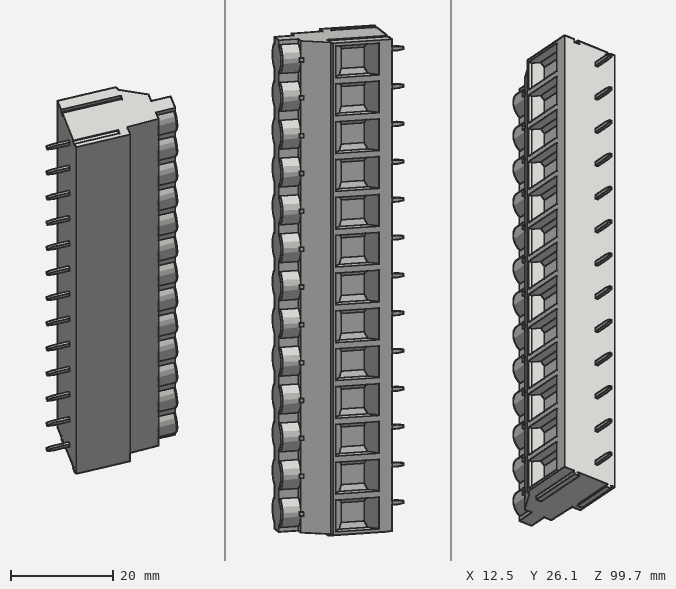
import cadquery as cq

pole_count = 13
overall_length = 99.7
overall_height = 26.1
pin_length = 4.6

rail_height = 0.7
rail_neck_outer_x = 2.4
rail_neck_inner_x = 3.3
rail_tip_outer_x = 2.5
rail_tip_inner_x = 3.7
wire_side_rail_top = 12.3
back_side_rail_top = 9.2

body_length = overall_length - rail_height
pitch = body_length / pole_count
body_width = 12.5
body_height = overall_height - pin_length
shoulder_height = 17.5
wire_face_height = 12.0
wire_face_chamfer_width = 0.8
wire_face_chamfer_height = 0.3
slope_top_x = 3.7
back_ledge_height = 11.1
back_ledge_x = 10.5
back_top_x = 10.3

barrel_x = 7.0
barrel_diameter = 6.6
barrel_chamfer = 0.3
web_width = 3.1

tab_size = 0.8
tab_start_x = 3.4
tab_depth = 1.0
tab_bottom = 17.0

pocket_bottom = 2.6
pocket_top = 11.5
pocket_length = 6.4
pocket_depth = 2.5
lower_flare_rise = 2.4
upper_flare_drop = 1.8
pocket_floor_bottom = pocket_bottom + lower_flare_rise
pocket_floor_top = pocket_top - upper_flare_drop
pocket_floor_length = 4.0
lower_flare_start = 0.4
upper_flare_start = 0.8
end_flare_start = 2.0

pin_x = 7.9
pin_width = 0.6
pin_thickness = 0.8
pin_tip_thickness = 0.4
pin_tip_length = 1.2
pin_root_depth = 1.0

pole_centers = [(index + 0.5) * pitch for index in range(pole_count)]


def make_housing():
    """Constant section extruded along the row, without web or barrels."""
    return (
        cq.Workplane("XY")
        .moveTo(0, 0)
        .lineTo(body_width, 0)
        .lineTo(body_width, back_ledge_height)
        .lineTo(back_ledge_x, back_ledge_height)
        .lineTo(back_top_x, shoulder_height)
        .lineTo(slope_top_x, shoulder_height)
        .lineTo(wire_face_chamfer_width, wire_face_height + wire_face_chamfer_height)
        .lineTo(0, wire_face_height)
        .close()
        .extrude(body_length)
    )


def make_web():
    """Wall along the top that links the screw barrels."""
    return (
        cq.Workplane("XY")
        .rect(web_width, body_height - shoulder_height)
        .extrude(body_length)
        .translate((barrel_x, (body_height + shoulder_height) / 2, 0))
    )


def make_barrel(center_z):
    """Upright cylinder with a chamfered top rim."""
    return (
        cq.Workplane("XZ", origin=(barrel_x, shoulder_height, center_z))
        .circle(barrel_diameter / 2)
        .extrude(shoulder_height - body_height)
        .faces(">Y")
        .chamfer(barrel_chamfer)
    )


def make_tab(center_z):
    """Small block standing proud of the slope beside a barrel."""
    return (
        cq.Workplane("XY")
        .box(tab_depth, tab_size, tab_size, centered=(False, False, True))
        .translate((tab_start_x, tab_bottom, center_z))
    )


def make_pocket(center_z):
    """Funnel-shaped wire entry: two flared sections crossed with each other."""
    height_section = (
        cq.Workplane("XY", origin=(0, 0, center_z))
        .polyline([
            (0, pocket_bottom),
            (lower_flare_start, pocket_bottom),
            (pocket_depth, pocket_floor_bottom),
            (pocket_depth, pocket_floor_top),
            (upper_flare_start, pocket_top),
            (0, pocket_top),
        ])
        .close()
        .extrude(pocket_length / 2, both=True)
    )
    length_section = (
        cq.Workplane("XZ", origin=(0, 0, center_z))
        .polyline([
            (0, -pocket_length / 2),
            (end_flare_start, -pocket_length / 2),
            (pocket_depth, -pocket_floor_length / 2),
            (pocket_depth, pocket_floor_length / 2),
            (end_flare_start, pocket_length / 2),
            (0, pocket_length / 2),
        ])
        .close()
        .extrude(-body_height)
    )
    return height_section.intersect(length_section)


def make_pin(center_z):
    """Rectangular pin below the housing with a wedge-shaped tip."""
    half_thickness = pin_thickness / 2
    half_tip = pin_tip_thickness / 2
    taper_start = pin_tip_length - pin_length
    return (
        cq.Workplane("YZ", origin=(pin_x, 0, center_z))
        .polyline([
            (pin_root_depth, -half_thickness),
            (taper_start, -half_thickness),
            (-pin_length, -half_tip),
            (-pin_length, half_tip),
            (taper_start, half_thickness),
            (pin_root_depth, half_thickness),
        ])
        .close()
        .extrude(pin_width / 2, both=True)
    )


def make_wire_side_rail(neck_z):
    """Half-dovetail bar that widens downward from neck_z."""
    tip_z = neck_z - rail_height
    return (
        cq.Workplane("XZ")
        .polyline([
            (rail_neck_outer_x, neck_z),
            (rail_neck_inner_x, neck_z),
            (rail_tip_inner_x, tip_z),
            (rail_tip_outer_x, tip_z),
        ])
        .close()
        .extrude(-wire_side_rail_top)
    )


def make_rails(neck_z):
    """Wire-side bar and its shorter mirror image on the back side."""
    wire_side = make_wire_side_rail(neck_z)
    lower_zone = cq.Workplane("XY").box(
        body_width, back_side_rail_top, 2 * overall_length, centered=(False, False, True)
    )
    back_side = wire_side.intersect(lower_zone).mirror("YZ", (barrel_x, 0, 0))
    return wire_side.union(back_side)


result = make_housing().union(make_web())

for z in pole_centers:
    result = result.union(make_barrel(z)).union(make_tab(z)).union(make_pin(z))
    result = result.cut(make_pocket(z))

result = result.union(make_rails(0))
result = result.cut(make_rails(body_length))